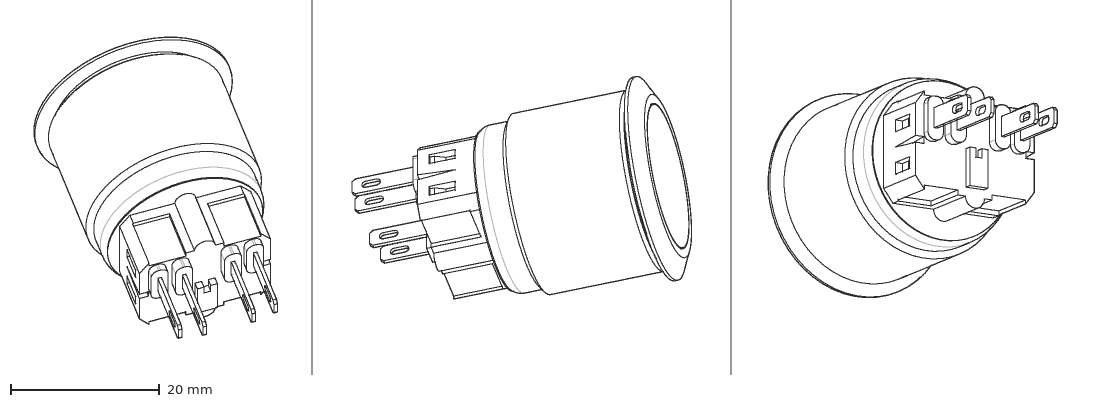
import cadquery as cq
import math


BEZEL_DIAMETER = 28.0
BEZEL_FACE_DIAMETER = 22.43
BEZEL_BEVEL_LENGTH = 1.55
BEZEL_THICKNESS = 2.0
NECK_DIAMETER = 23.0
NECK_END = 2.53
BARREL_DIAMETER = 24.9
BARREL_START = 2.7
FRONT_BEVEL_LENGTH = 0.45
FRONT_BEVEL_DEPTH = 0.6
BARREL_END = 19.75
REAR_BEVEL_LENGTH = 0.65
COLLAR_DIAMETER = 23.1
COLLAR_STRAIGHT_END = 22.5
COLLAR_ROUND_END = 23.85
COLLAR_ROUND_DROP = 0.55
COLLAR_END = 24.0

GAP_OUTER_DIAMETER = 19.95
GAP_WIDTH = 0.13
GAP_DEPTH = 0.25

BLOCK_END = 32.4
BLOCK_HALF_WIDTH = 9.3
BLOCK_HALF_HEIGHT = 6.95
TOP_FLAT_HALF_WIDTH = 7.85
SIDE_FLAT_HALF_HEIGHT = 5.05
SCREW_TUBE_DIAMETER = 2.95

RECESS_START = 25.42
RECESS_INNER_Y = 2.7
RECESS_OUTER_Y = 7.9
RECESS_DEPTH = 0.7

WINDOW_START = 27.1
WINDOW_END = 30.75
WINDOW_HEIGHT = 1.63
WINDOW_OFFSET = 2.95
WINDOW_DEPTH = 1.1
LEDGE_DEPTH = 0.45
RAMP_START = 28.7
RAMP_END = 30.15
SPLIT_HALF_HEIGHT = 0.45
SPLIT_DEPTH = 1.3

TERMINAL_Z = 3.0
INNER_TERMINAL_Y = 3.45
OUTER_TERMINAL_Y = 6.75
BOSS_WIDTH = 2.4
BOSS_HEIGHT = 6.08
BOSS_CORNER_RADIUS = 1.05
INNER_BOSS_END = 33.95
OUTER_BOSS_END = 33.43
INNER_PIN_END = 42.8
OUTER_PIN_END = 42.25
PIN_WIDTH = 2.8
PIN_THICKNESS = 0.5
PIN_CORNER_CHAMFER = 0.45
EYE_LENGTH = 2.55
EYE_WIDTH = 1.1
EYE_TO_PIN_END = 2.7

KEY_END = 33.43
KEY_WIDTH = 2.82
KEY_TOP = -0.35
KEY_BOTTOM = -5.7
KEY_SLOT_WIDTH = 0.95
KEY_SLOT_DEPTH = 1.3


def box(x_range, y_range, z_range):
    """Box spanning the given (low, high) ranges."""
    sizes = [high - low for low, high in (x_range, y_range, z_range)]
    corner = (x_range[0], y_range[0], z_range[0])
    return cq.Workplane("XY").box(*sizes, centered=False).translate(corner)


def make_barrel():
    """Bezel, neck, barrel and rounded rear collar turned about the X axis."""
    bezel_radius = BEZEL_DIAMETER / 2
    neck_radius = NECK_DIAMETER / 2
    barrel_radius = BARREL_DIAMETER / 2
    collar_radius = COLLAR_DIAMETER / 2
    collar_end_radius = collar_radius - COLLAR_ROUND_DROP

    round_length = COLLAR_ROUND_END - COLLAR_STRAIGHT_END
    round_radius = (round_length**2 + COLLAR_ROUND_DROP**2) / (2 * COLLAR_ROUND_DROP)
    half_angle = math.asin(round_length / round_radius) / 2
    arc_middle = (
        COLLAR_STRAIGHT_END + round_radius * math.sin(half_angle),
        collar_radius - round_radius * (1 - math.cos(half_angle)),
    )

    profile = (
        cq.Workplane("XY")
        .lineTo(0, BEZEL_FACE_DIAMETER / 2)
        .lineTo(BEZEL_BEVEL_LENGTH, bezel_radius)
        .lineTo(BEZEL_THICKNESS, bezel_radius)
        .lineTo(BEZEL_THICKNESS, neck_radius)
        .lineTo(NECK_END, neck_radius)
        .lineTo(NECK_END, collar_radius)
        .lineTo(BARREL_START, collar_radius)
        .lineTo(BARREL_START, barrel_radius - FRONT_BEVEL_DEPTH)
        .lineTo(BARREL_START + FRONT_BEVEL_LENGTH, barrel_radius)
        .lineTo(BARREL_END - REAR_BEVEL_LENGTH, barrel_radius)
        .lineTo(BARREL_END, collar_radius)
        .lineTo(COLLAR_STRAIGHT_END, collar_radius)
        .threePointArc(arc_middle, (COLLAR_ROUND_END, collar_end_radius))
        .lineTo(COLLAR_END, collar_end_radius)
        .lineTo(COLLAR_END, 0)
        .close()
    )
    return profile.revolve(360, (0, 0, 0), (1, 0, 0))


def make_button_gap():
    """Thin ring that separates the button from the bezel face."""
    outer_radius = GAP_OUTER_DIAMETER / 2
    return cq.Workplane("YZ").circle(outer_radius).circle(outer_radius - GAP_WIDTH).extrude(GAP_DEPTH)


def make_block():
    """Eight-sided terminal block with a screw tube on its top and bottom."""
    corners = [
        (BLOCK_HALF_WIDTH, SIDE_FLAT_HALF_HEIGHT),
        (TOP_FLAT_HALF_WIDTH, BLOCK_HALF_HEIGHT),
        (-TOP_FLAT_HALF_WIDTH, BLOCK_HALF_HEIGHT),
        (-BLOCK_HALF_WIDTH, SIDE_FLAT_HALF_HEIGHT),
        (-BLOCK_HALF_WIDTH, -SIDE_FLAT_HALF_HEIGHT),
        (-TOP_FLAT_HALF_WIDTH, -BLOCK_HALF_HEIGHT),
        (TOP_FLAT_HALF_WIDTH, -BLOCK_HALF_HEIGHT),
        (BLOCK_HALF_WIDTH, -SIDE_FLAT_HALF_HEIGHT),
    ]
    base = cq.Workplane("YZ").workplane(offset=COLLAR_END)
    length = BLOCK_END - COLLAR_END
    tubes = (
        base.pushPoints([(0, BLOCK_HALF_HEIGHT), (0, -BLOCK_HALF_HEIGHT)])
        .circle(SCREW_TUBE_DIAMETER / 2)
        .extrude(length)
    )
    return base.polyline(corners).close().extrude(length).union(tubes)


def make_recess():
    """Recess in the top of the block on the +Y side."""
    return box(
        (RECESS_START, BLOCK_END),
        (RECESS_INNER_Y, RECESS_OUTER_Y),
        (BLOCK_HALF_HEIGHT - RECESS_DEPTH, BLOCK_HALF_HEIGHT),
    )


def make_window():
    """Latch window in the +Y side, with a ramp rising to a shallow ledge."""
    outer_y = BLOCK_HALF_WIDTH
    floor_y = outer_y - WINDOW_DEPTH
    ledge_y = outer_y - LEDGE_DEPTH
    outline = [
        (WINDOW_START, outer_y),
        (WINDOW_START, floor_y),
        (RAMP_START, floor_y),
        (RAMP_END, ledge_y),
        (WINDOW_END, ledge_y),
        (WINDOW_END, outer_y),
    ]
    bottom = WINDOW_OFFSET - WINDOW_HEIGHT / 2
    return cq.Workplane("XY").workplane(offset=bottom).polyline(outline).close().extrude(WINDOW_HEIGHT)


def make_split():
    """V-shaped split in the +Y side, widening toward the rear of the block."""
    outline = [
        (WINDOW_START, 0),
        (BLOCK_END, SPLIT_HALF_HEIGHT),
        (BLOCK_END, -SPLIT_HALF_HEIGHT),
    ]
    plane = cq.Workplane("XZ").workplane(offset=-BLOCK_HALF_WIDTH)
    return plane.polyline(outline).close().extrude(SPLIT_DEPTH)


def make_terminal(y, boss_end, pin_end):
    """Rounded boss on the rear of the block with a flat solder pin."""
    boss = (
        box(
            (BLOCK_END, boss_end),
            (y - BOSS_WIDTH / 2, y + BOSS_WIDTH / 2),
            (TERMINAL_Z - BOSS_HEIGHT / 2, TERMINAL_Z + BOSS_HEIGHT / 2),
        )
        .edges("|X")
        .fillet(BOSS_CORNER_RADIUS)
    )
    pin = (
        box(
            (boss_end, pin_end),
            (y - PIN_THICKNESS / 2, y + PIN_THICKNESS / 2),
            (TERMINAL_Z - PIN_WIDTH / 2, TERMINAL_Z + PIN_WIDTH / 2),
        )
        .edges("|Y and >X")
        .chamfer(PIN_CORNER_CHAMFER)
    )
    eye = (
        cq.Workplane("XZ", origin=(pin_end - EYE_TO_PIN_END, y, TERMINAL_Z))
        .slot2D(EYE_LENGTH, EYE_WIDTH)
        .extrude(PIN_THICKNESS, both=True)
    )
    return boss.union(pin.cut(eye))


def make_key():
    """Key block on the rear face, slotted from its upper side."""
    x_range = (BLOCK_END, KEY_END)
    body = box(x_range, (-KEY_WIDTH / 2, KEY_WIDTH / 2), (KEY_BOTTOM, KEY_TOP))
    slot = box(
        x_range,
        (-KEY_SLOT_WIDTH / 2, KEY_SLOT_WIDTH / 2),
        (KEY_TOP - KEY_SLOT_DEPTH, KEY_TOP),
    )
    return body.cut(slot)


def in_all_quadrants(shape):
    """The shape and its mirror images across the XY and XZ planes."""
    pair = [shape, shape.mirror("XY")]
    return pair + [half.mirror("XZ") for half in pair]


block = make_block()
for quarter_cut in (make_recess(), make_window()):
    for copy in in_all_quadrants(quarter_cut):
        block = block.cut(copy)

split = make_split()
block = block.cut(split).cut(split.mirror("XZ"))

result = make_barrel().cut(make_button_gap()).union(block).union(make_key())
for side in (-1, 1):
    result = result.union(make_terminal(side * INNER_TERMINAL_Y, INNER_BOSS_END, INNER_PIN_END))
    result = result.union(make_terminal(side * OUTER_TERMINAL_Y, OUTER_BOSS_END, OUTER_PIN_END))